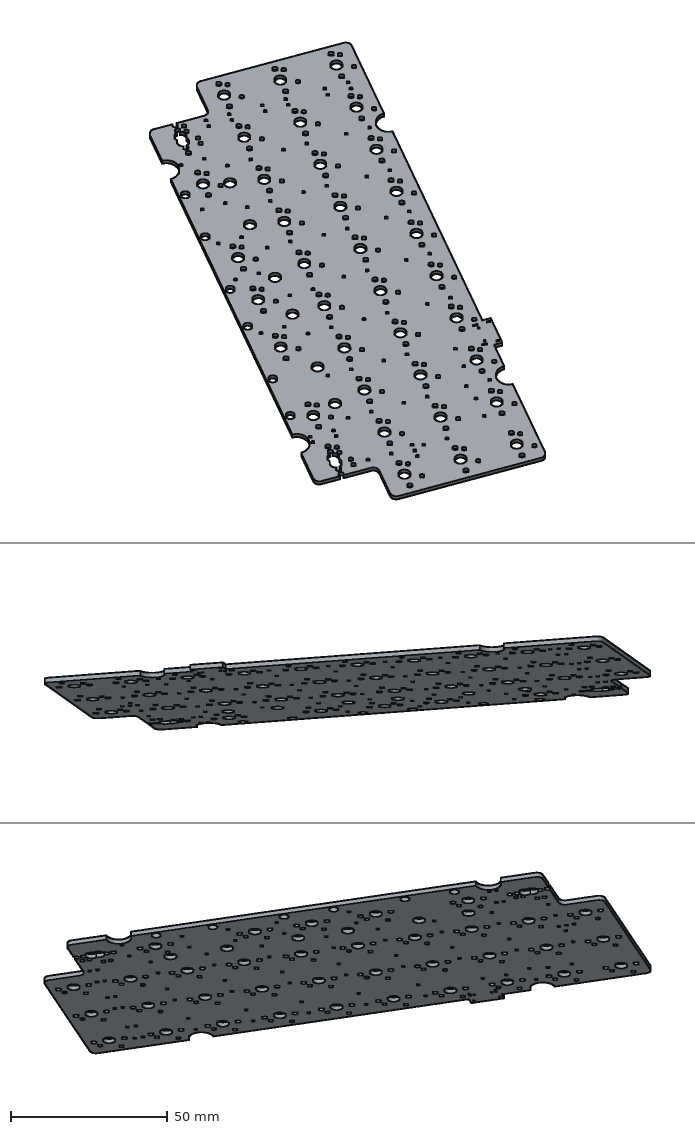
import cadquery as cq

BOARD_LENGTH = 187.7
BOARD_THICKNESS = 1.6
BOARD_TOP = 73.5
TAB_TOP = 76.4
SHOULDER_Y = 21.0
LOWER_HALF_WIDTH = 79.5
CORNER_RADIUS = 2.0

COLUMNS = 10
FULL_ROWS = 3
FULL_ROW_LENGTH = 190.5
KEY_PITCH = FULL_ROW_LENGTH / COLUMNS
BOTTOM_ROW_Y = 9.0
BOTTOM_ROW_UNITS = (-3.875, -3.75, -2.75, -1, 0, 1.125, 2.75, 3.75, 3.875)

GRID_STEP = KEY_PITCH / 15
STEM_DIAMETER = 4.0
GUIDE_DIAMETER = 1.75
GUIDE_STEPS = ((-4, 0), (4, 0))
PIN_DIAMETER = 1.46
PIN_STEPS = ((-3, 2), (2, 4))

STABILIZERS = ((-1, 23.8), (1.125, 23.8), (0, 99.9))
STABILIZER_BIG_DIAMETER = 4.0
STABILIZER_BIG_RISE = 8.3
STABILIZER_SMALL_DIAMETER = 3.0
STABILIZER_SMALL_DROP = 7.0

LEAD_DIAMETER = 1.0
LEAD_SPAN = 7.9

DIODE_ROWS = (
    (63.3, (-77.5, -74.7, -57.0, -37.7, -19.1, 0.0, 19.9, 57.0)),
    (42.0, (-77.5, -74.9, -57.5, -38.3, -19.0, 0.0, 19.1, 38.0, 57.0, 76.0)),
    (22.9, (-77.5, -74.9, -57.0, -38.3)),
    (23.0, (-19.9, 1.7, 19.0, 38.0, 57.0, 76.0)),
    (9.0, (-62.3, -42.2, -26.8, -10.5, 13.7, 60.6, 63.0)),
)

RESISTORS = ((44.9, 61.4), (67.0, 60.5))

HEADER_CENTRE = (77.3, 34.5)
HEADER_PITCH = 2 * GRID_STEP
HEADER_PINS = 3

USB_X = 38.0
TAB_WIDTH = 11.0
USB_PEG_DIAMETER = 0.65
USB_PEG_SPACING = 5.8
USB_PEG_Y = 71.3
USB_SLOT_SPACING = 8.6
USB_SLOT_WIDTH = 0.6
USB_SLOTS = ((70.8, 1.7), (75.3, 1.1))

TOP_NOTCH_DIAMETER = 8.0
BOTTOM_NOTCH_DIAMETER = 8.3
TOP_NOTCH_UNITS = 3
BOTTOM_NOTCH_UNITS = 3.25


def board_blank():
    """T-shaped body with rounded corners, plus the connector tab on its upper edge."""
    half = BOARD_LENGTH / 2
    outline = [
        (-LOWER_HALF_WIDTH, 0),
        (LOWER_HALF_WIDTH, 0),
        (LOWER_HALF_WIDTH, SHOULDER_Y),
        (half, SHOULDER_Y),
        (half, BOARD_TOP),
        (-half, BOARD_TOP),
        (-half, SHOULDER_Y),
        (-LOWER_HALF_WIDTH, SHOULDER_Y),
    ]
    body = cq.Workplane("XY").polyline(outline).close().extrude(BOARD_THICKNESS)
    body = body.edges("|Z").fillet(CORNER_RADIUS)
    tab = (
        cq.Workplane("XY")
        .center(USB_X, (SHOULDER_Y + TAB_TOP) / 2)
        .rect(TAB_WIDTH, TAB_TOP - SHOULDER_Y)
        .extrude(BOARD_THICKNESS)
    )
    return body.union(tab)


def drill(points, diameter):
    """Cutting cylinders through the plate at the given points."""
    return cq.Workplane("XY").pushPoints(points).circle(diameter / 2).extrude(BOARD_THICKNESS)


def key_centres():
    centres = [(unit * KEY_PITCH, BOTTOM_ROW_Y) for unit in BOTTOM_ROW_UNITS]
    for row in range(1, FULL_ROWS + 1):
        for column in range(COLUMNS):
            x = (column - (COLUMNS - 1) / 2) * KEY_PITCH
            centres.append((x, BOTTOM_ROW_Y + row * KEY_PITCH))
    return centres


def cut_keys(board):
    """Overlapping key sites share cut-outs, so each kind of hole is cut per site."""
    for x, y in key_centres():
        guides = [(x + i * GRID_STEP, y + j * GRID_STEP) for i, j in GUIDE_STEPS]
        pins = [(x + i * GRID_STEP, y + j * GRID_STEP) for i, j in PIN_STEPS]
        board = board.cut(drill([(x, y)], STEM_DIAMETER))
        board = board.cut(drill(guides, GUIDE_DIAMETER))
        board = board.cut(drill(pins, PIN_DIAMETER))
    return board


def cut_stabilizers(board):
    xs = [unit * KEY_PITCH + side * spacing / 2 for unit, spacing in STABILIZERS for side in (-1, 1)]
    big = [(x, BOTTOM_ROW_Y + STABILIZER_BIG_RISE) for x in xs]
    small = [(x, BOTTOM_ROW_Y - STABILIZER_SMALL_DROP) for x in xs]
    board = board.cut(drill(big, STABILIZER_BIG_DIAMETER))
    return board.cut(drill(small, STABILIZER_SMALL_DIAMETER))


def lead_points():
    points = []
    for middle_y, xs in DIODE_ROWS:
        for x in xs:
            points += [(x, middle_y - LEAD_SPAN / 2), (x, middle_y + LEAD_SPAN / 2)]
    for x, y in RESISTORS:
        points += [(x - LEAD_SPAN / 2, y), (x + LEAD_SPAN / 2, y)]
    header_x, header_y = HEADER_CENTRE
    for pin in range(HEADER_PINS):
        points.append((header_x + (pin - (HEADER_PINS - 1) / 2) * HEADER_PITCH, header_y))
    return points


def cut_usb(board):
    pegs = [(USB_X + side * USB_PEG_SPACING / 2, USB_PEG_Y) for side in (-1, 1)]
    board = board.cut(drill(pegs, USB_PEG_DIAMETER))
    for y, length in USB_SLOTS:
        slots = (
            cq.Workplane("XY")
            .pushPoints([(USB_X + side * USB_SLOT_SPACING / 2, y) for side in (-1, 1)])
            .slot2D(length, USB_SLOT_WIDTH, 90)
            .extrude(BOARD_THICKNESS)
        )
        board = board.cut(slots)
    return board


def cut_notches(board):
    top_x = TOP_NOTCH_UNITS * KEY_PITCH
    bottom_x = BOTTOM_NOTCH_UNITS * KEY_PITCH
    board = board.cut(drill([(-top_x, BOARD_TOP), (top_x, BOARD_TOP)], TOP_NOTCH_DIAMETER))
    return board.cut(drill([(-bottom_x, 0), (bottom_x, 0)], BOTTOM_NOTCH_DIAMETER))


result = board_blank()
result = cut_keys(result)
result = cut_stabilizers(result)
result = result.cut(drill(lead_points(), LEAD_DIAMETER))
result = cut_usb(result)
result = cut_notches(result)